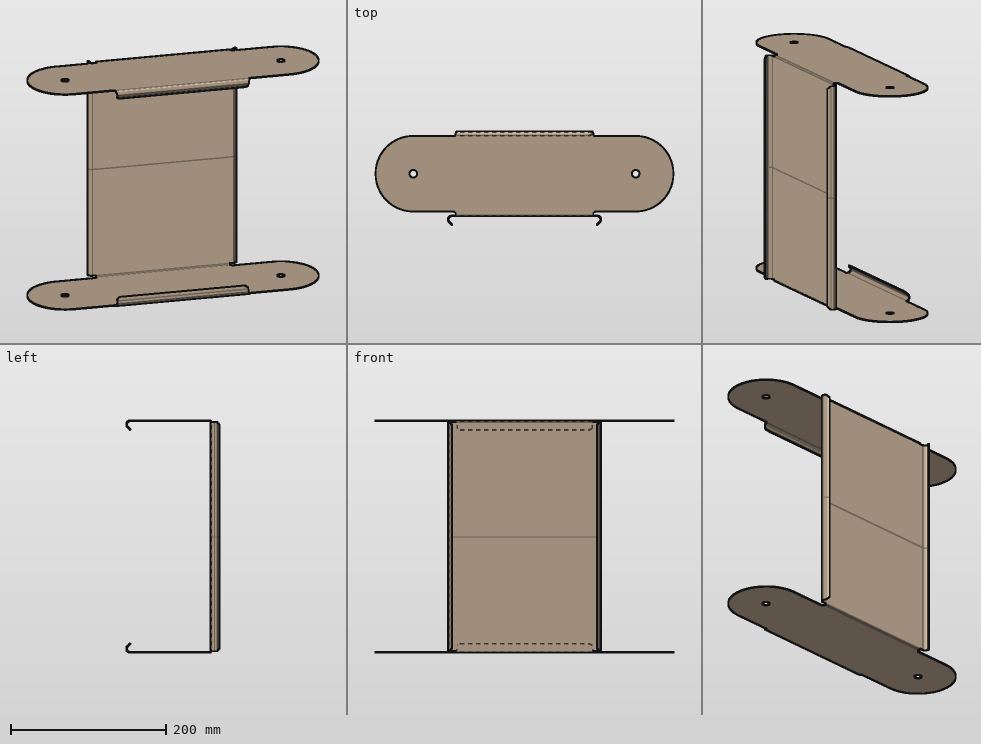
import cadquery as cq
import math

overall_length = 384.79
overall_height = 300.0
depth = 110.0
sheet = 1.25

end_radius = 49.0
hole_spacing = 287.0
hole_diameter = 9.5

fold_inner_radius = 1.0
fold_width = 178.0
relief_chamfer = 2.0

hem_inner_radius = 4.0
hem_angle = 135.0
lip_length = 5.0
lip_chamfer = 4.0
wall_width = 198.0
side_hem_gap = 2.0
back_hem_width = 179.0
back_hem_narrow = 174.5

hem_radius = hem_inner_radius + sheet
fold_radius = fold_inner_radius + sheet
half_height = overall_height / 2
half_depth = depth / 2
back_bend_start = half_depth - hem_radius
fold_start = -half_depth + fold_radius


def hem(length, chamfer_start, chamfer_end):
    """Hem along +Z from the origin: its outer face starts along +X at y = 0 and bends to -Y."""
    quarter = math.pi / 2
    turn = math.radians(hem_angle)
    center_y = -hem_radius

    def on_arc(radius, angle):
        return (radius * math.sin(angle), center_y + radius * math.cos(angle))

    def bend(start, end):
        middle = (start + end) / 2
        return (
            cq.Workplane("XY")
            .moveTo(*on_arc(hem_radius, start))
            .threePointArc(on_arc(hem_radius, middle), on_arc(hem_radius, end))
            .lineTo(*on_arc(hem_inner_radius, end))
            .threePointArc(on_arc(hem_inner_radius, middle), on_arc(hem_inner_radius, start))
            .close()
            .extrude(length)
        )

    bend_end = on_arc(hem_radius, turn)
    lip_plane = cq.Plane(
        origin=(bend_end[0], bend_end[1], 0),
        xDir=(math.cos(turn), -math.sin(turn), 0),
        normal=(-math.sin(turn), -math.cos(turn), 0),
    )
    lip = (
        cq.Workplane(lip_plane)
        .polyline([
            (0, 0),
            (lip_length, chamfer_start),
            (lip_length, length - chamfer_end),
            (0, length),
        ])
        .close()
        .extrude(sheet)
    )
    return bend(0, quarter).union(bend(quarter, turn), clean=False).union(lip, clean=False)


def shelf():
    plate_bottom = half_height - sheet
    plate = (
        cq.Workplane("XY", origin=(0, 0, plate_bottom))
        .slot2D(overall_length, 2 * end_radius)
        .extrude(sheet)
    )
    back_tab = (
        cq.Workplane("XY", origin=(0, 0, plate_bottom))
        .rect(back_hem_width, 2 * back_bend_start)
        .extrude(sheet)
    )
    front_tab = (
        cq.Workplane("XY", origin=(0, 0, plate_bottom))
        .polyline([
            (-fold_width / 2 - relief_chamfer, -end_radius),
            (-fold_width / 2, -end_radius - relief_chamfer),
            (-fold_width / 2, fold_start),
            (fold_width / 2, fold_start),
            (fold_width / 2, -end_radius - relief_chamfer),
            (fold_width / 2 + relief_chamfer, -end_radius),
        ])
        .close()
        .extrude(sheet)
    )
    holes = (
        cq.Workplane("XY", origin=(0, 0, plate_bottom))
        .pushPoints([(-hole_spacing / 2, 0), (hole_spacing / 2, 0)])
        .circle(hole_diameter / 2)
        .extrude(sheet)
    )
    return plate.union(back_tab).union(front_tab).cut(holes)


def fold():
    center_z = half_height - fold_radius
    diagonal = math.sqrt(0.5)
    return (
        cq.Workplane("YZ", origin=(-fold_width / 2, 0, 0))
        .moveTo(fold_start, half_height)
        .threePointArc(
            (fold_start - fold_radius * diagonal, center_z + fold_radius * diagonal),
            (-half_depth, center_z),
        )
        .lineTo(-half_depth + sheet, center_z)
        .threePointArc(
            (fold_start - fold_inner_radius * diagonal, center_z + fold_inner_radius * diagonal),
            (fold_start, half_height - sheet),
        )
        .close()
        .extrude(fold_width)
    )


def half_wall():
    flat_width = wall_width - 2 * hem_radius
    wall_top = half_height - fold_radius
    flat = cq.Workplane("XY").box(flat_width, sheet, wall_top, centered=(True, False, False))
    flat = flat.translate((0, -half_depth, 0))
    right_hem = hem(half_height - side_hem_gap, 0, lip_chamfer)
    right_hem = right_hem.translate((flat_width / 2, -half_depth + sheet, 0))
    return flat.union(right_hem, clean=False).union(right_hem.mirror("YZ"), clean=False)


def back_hem():
    end_inset = (back_hem_width - back_hem_narrow) / 2
    strip = hem(back_hem_width, end_inset + lip_chamfer, end_inset + lip_chamfer)
    strip = strip.rotate((0, 0, 0), (1, 1, 1), 120)
    strip = strip.translate((-back_hem_width / 2, 0, 0))
    outermost_reach = math.hypot(hem_radius, hem_radius)
    taper_reach = 2 * outermost_reach
    taper_plane = cq.Plane(origin=(0, 0, 0), xDir=(1, 0, 0), normal=(0, 1, 1))
    taper = (
        cq.Workplane(taper_plane)
        .polyline([
            (-back_hem_width / 2, 0),
            (back_hem_width / 2, 0),
            (back_hem_width / 2 - 2 * end_inset, taper_reach),
            (-back_hem_width / 2 + 2 * end_inset, taper_reach),
        ])
        .close()
        .extrude(taper_reach, both=True)
    )
    return strip.intersect(taper, clean=False).translate((0, back_bend_start, half_height))


upper_half = (
    shelf()
    .union(fold(), clean=False)
    .union(half_wall(), clean=False)
    .union(back_hem(), clean=False)
)
result = upper_half.union(upper_half.mirror("XY"), clean=False)